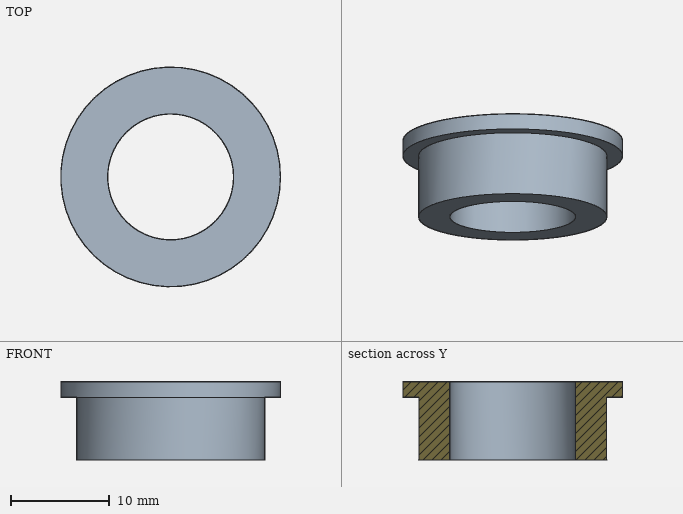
import cadquery as cq

INCH = 25.4

bore_diameter = INCH / 2
body_diameter = INCH * 3 / 4
flange_diameter = INCH * 7 / 8
flange_thickness = INCH / 16
total_height = INCH * 5 / 16
body_height = total_height - flange_thickness


def make_ring(outer_diameter, height, base_z):
    """Ring around the Z axis, with the bushing bore through it."""
    return (
        cq.Workplane("XY", origin=(0, 0, base_z))
        .circle(outer_diameter / 2)
        .circle(bore_diameter / 2)
        .extrude(height)
    )


body = make_ring(body_diameter, body_height, 0)
flange = make_ring(flange_diameter, flange_thickness, body_height)

result = body.union(flange)